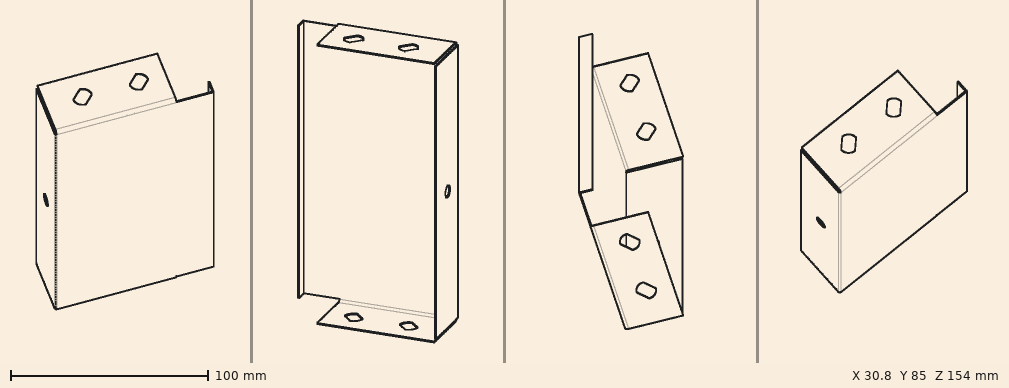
import cadquery as cq

width = 30.8
depth = 85.0
height = 154.0
sheet = 0.7

wall_height = 150.0
front_flange_setback = 0.5
front_bend_radius = 1.0
lip_width = 7.1

tab_depth = 64.0
tab_front_gap = 1.0
tab_bend_radius = 2.0

front_hole_diameter = 6.5
front_hole_x = 16.2
tab_hole_diameter = 10.0
tab_hole_flats = 7.0
tab_hole_x = 13.9
tab_hole_first_y = 20.5
tab_hole_spacing = 30.0
tab_hole_angle = 45


def box(x_size, y_size, z_size, x, y, z):
    """Box placed by its lowest corner."""
    return cq.Workplane("XY").box(x_size, y_size, z_size, centered=False).translate((x, y, z))


def wall_with_flanges():
    """Wall on the +X side, bent at the front and rear, centred in height."""
    base = (height - wall_height) / 2
    wall = box(sheet, depth, wall_height, width - sheet, 0, base)
    flange_width = width - front_flange_setback
    flange = box(flange_width, sheet, wall_height, front_flange_setback, 0, base)
    lip = box(lip_width, sheet, wall_height, width - lip_width, depth - sheet, base)
    front_corner = cq.selectors.NearestToPointSelector((width, 0, height / 2))
    return wall.union(flange).union(lip).edges(front_corner).fillet(front_bend_radius)


def tabs():
    """Top and bottom tabs with rounded bends, joined by a strip of the wall."""
    outer = box(width, tab_depth, height, 0, tab_front_gap, 0)
    outer = outer.edges("|Y and >X").fillet(tab_bend_radius)
    inner = box(width - sheet, tab_depth, height - 2 * sheet, 0, tab_front_gap, sheet)
    inner = inner.edges("|Y and >X").fillet(tab_bend_radius - sheet)
    return outer.cut(inner)


def double_flat_hole(y, base, angle):
    """Cutter for a round hole with two parallel flats, turned about Z."""
    cutter_height = height / 2
    flats = cq.Workplane("XY").rect(tab_hole_diameter, tab_hole_flats).extrude(cutter_height)
    cutter = cq.Workplane("XY").circle(tab_hole_diameter / 2).extrude(cutter_height).intersect(flats)
    return cutter.rotate((0, 0, 0), (0, 0, 1), angle).translate((tab_hole_x, y, base))


result = wall_with_flanges().union(tabs())

for tab_hole_y in (tab_hole_first_y, tab_hole_first_y + tab_hole_spacing):
    result = result.cut(double_flat_hole(tab_hole_y, 0, tab_hole_angle))
    result = result.cut(double_flat_hole(tab_hole_y, height / 2, -tab_hole_angle))

front_hole = (
    cq.Workplane("XZ")
    .center(front_hole_x, height / 2)
    .circle(front_hole_diameter / 2)
    .extrude(-sheet)
)
result = result.cut(front_hole)